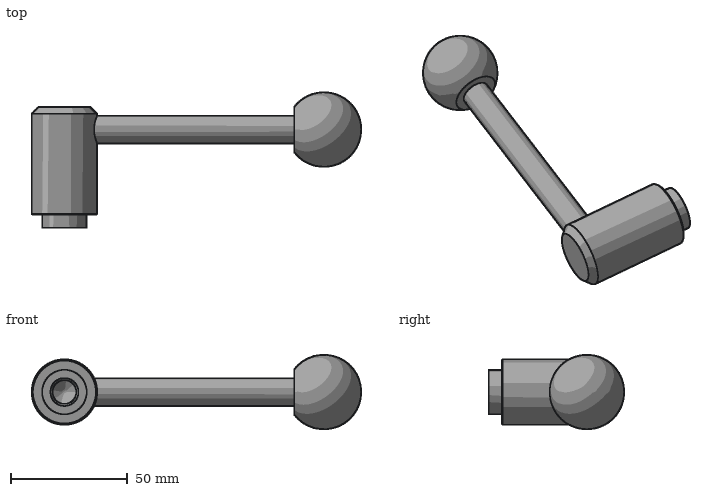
import cadquery as cq
import math

hub_diameter = 28.0
hub_radius = hub_diameter / 2
hub_back = 51.7
hub_back_chamfer = 3.0
hub_front_chamfer = 0.5
spigot_diameter = 19.0
spigot_length = 5.5

bore_diameter = 10.2
bore_mouth_diameter = 12.0
bore_depth = 28.2
drill_point_angle = 118.0

overall_length = 141.0
rod_diameter = 12.0
ball_diameter = 32.0
ball_radius = ball_diameter / 2
ball_x = overall_length - ball_radius
ball_flat_x = 112.2
lever_y = 42.0


def cylinder_along_y(diameter, start, end):
    """Cylinder on the hub axis between two Y positions."""
    plane = cq.Workplane("XZ", origin=(hub_radius, end, 0))
    return plane.circle(diameter / 2).extrude(end - start)


def make_hub():
    body = cylinder_along_y(hub_diameter, spigot_length, hub_back)
    body = body.faces(">Y").chamfer(hub_back_chamfer)
    body = body.faces("<Y").chamfer(hub_front_chamfer)
    return body.union(cylinder_along_y(spigot_diameter, 0, spigot_length))


def make_bore():
    """Revolved cutter: countersunk mouth, straight bore and drill point."""
    bore_radius = bore_diameter / 2
    mouth_radius = bore_mouth_diameter / 2
    mouth_depth = mouth_radius - bore_radius
    point_depth = bore_radius / math.tan(math.radians(drill_point_angle / 2))
    profile = (
        cq.Workplane("XY", origin=(hub_radius, 0, 0))
        .lineTo(mouth_radius, 0)
        .lineTo(bore_radius, mouth_depth)
        .lineTo(bore_radius, bore_depth)
        .lineTo(0, bore_depth + point_depth)
        .close()
    )
    return profile.revolve(360, (0, 0, 0), (0, 1, 0))


def make_lever():
    rod = (
        cq.Workplane("YZ", origin=(hub_radius, lever_y, 0))
        .circle(rod_diameter / 2)
        .extrude(ball_x - hub_radius)
    )
    flat_offset = ball_flat_x - ball_x
    flat_radius = math.sqrt(ball_radius**2 - flat_offset**2)
    ball = (
        cq.Workplane("XY", origin=(ball_x, lever_y, 0))
        .moveTo(flat_offset, 0)
        .lineTo(flat_offset, flat_radius)
        .threePointArc((0, ball_radius), (ball_radius, 0))
        .close()
        .revolve(360, (0, 0, 0), (1, 0, 0))
    )
    return rod.union(ball)


result = make_hub().union(make_lever()).cut(make_bore())